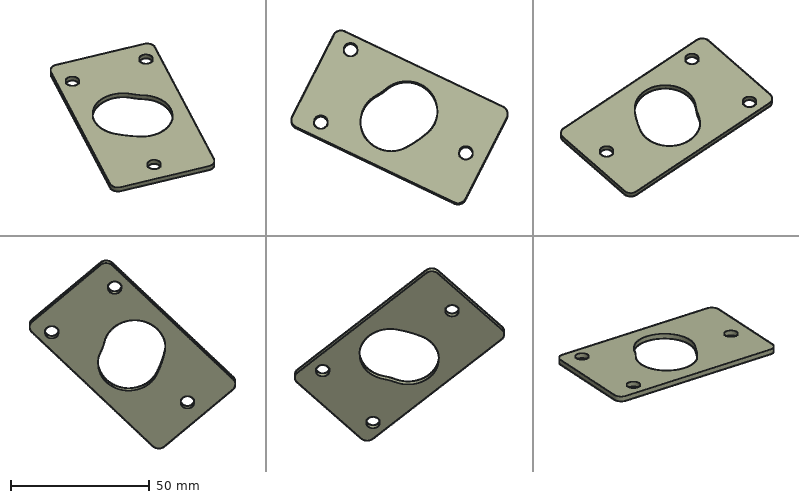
import cadquery as cq
import math

length = 70
width = 40.0
thickness = 2.0
corner_radius = 3.0

hole_diameter = 5.0
pivot_x, pivot_y = -27.0, 14.8
hole_positions = [(pivot_x, pivot_y), (-24.7, -14.35), (27.5, -1.5)]

slot_path_radius = 30.65
slot_end_radius = 11.1
slot_start_angle = -35.1
slot_end_angle = -22.3
slot_middle_angle = (slot_start_angle + slot_end_angle) / 2


def around_pivot(radius, angle):
    """Point at a radius and an angle in degrees from the pivot hole."""
    turn = math.radians(angle)
    return pivot_x + radius * math.cos(turn), pivot_y + radius * math.sin(turn)


def make_plate():
    plate = cq.Workplane("XY").box(length, width, thickness)
    return plate.edges("|Z").fillet(corner_radius)


def make_holes():
    holes = cq.Workplane("XY").pushPoints(hole_positions).circle(hole_diameter / 2)
    return holes.extrude(thickness, both=True)


def make_slot():
    """Slot with concentric sides and a round end at each limit of the swing."""
    inner = slot_path_radius - slot_end_radius
    outer = slot_path_radius + slot_end_radius
    swing = (
        cq.Workplane("XY")
        .moveTo(*around_pivot(inner, slot_start_angle))
        .threePointArc(around_pivot(inner, slot_middle_angle), around_pivot(inner, slot_end_angle))
        .lineTo(*around_pivot(outer, slot_end_angle))
        .threePointArc(around_pivot(outer, slot_middle_angle), around_pivot(outer, slot_start_angle))
        .close()
        .extrude(thickness, both=True)
    )
    end_centers = [around_pivot(slot_path_radius, angle) for angle in (slot_start_angle, slot_end_angle)]
    for center in end_centers:
        end = cq.Workplane("XY").center(*center).circle(slot_end_radius).extrude(thickness, both=True)
        swing = swing.union(end)
    return swing


result = make_plate().cut(make_holes()).cut(make_slot())